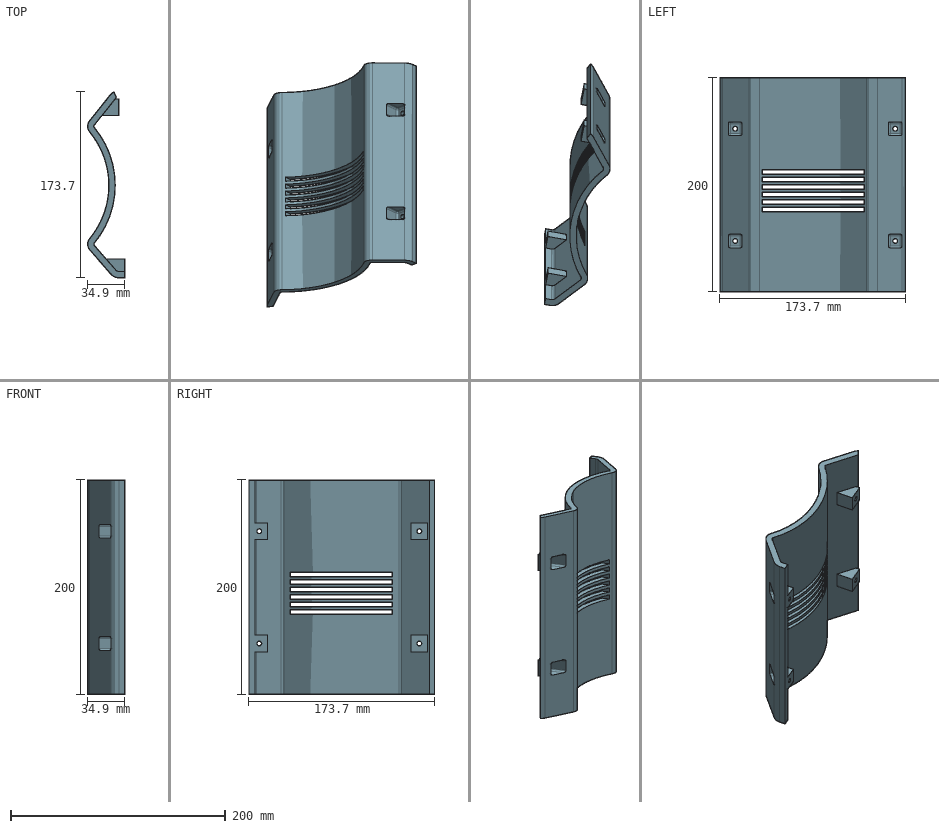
import cadquery as cq
import math

panel_height = 200.0
wall = 6.0

back_radius = 84.0
front_radius = back_radius - wall
bend_half_width = 55.0
bend_back_radius = 2.0
bend_front_radius = bend_back_radius + wall

upper_leg_angle = 51.5
lower_leg_angle = 49.0
upper_leg_back_end = 82.2
lower_leg_back_end = 80.5
lip_back_radius = 4.0
lip_front_radius = lip_back_radius + wall
lip_tip_x = 93.0

slot_count = 6
slot_pitch = 7.0
slot_height = 4.0
slot_length = 95.0
top_slot_z = 12.0

seat_z = 52.5
upper_seat_y = 72.8
lower_seat_y = -76.5
upper_seat_back_x = 87.5
lower_seat_back_x = lip_tip_x
boss_size = 15.5
pocket_size = 12.8
pocket_fillet = 1.8
pocket_floor_x = 84.5
screw_hole_diameter = 4.2


def leg_points(angle_degrees, back_end):
    """Sharp corners of a leg on the +Y side: bend back and front, end back and front."""
    angle = math.radians(angle_degrees)
    along = (math.cos(angle), math.sin(angle))
    normal = (-math.sin(angle), math.cos(angle))
    bend_back = (math.sqrt(back_radius**2 - bend_half_width**2), bend_half_width)
    reach = (back_end - bend_half_width) / math.sin(angle)
    end_back = (bend_back[0] + reach * along[0], back_end)
    offset = bend_back[0] * normal[0] + bend_back[1] * normal[1] + wall
    travel = math.sqrt(front_radius**2 - offset**2)
    bend_front = (offset * normal[0] + travel * along[0], offset * normal[1] + travel * along[1])
    end_front = (end_back[0] - wall * math.tan(angle / 2), back_end + wall)
    return bend_back, bend_front, end_back, end_front


def base_plane():
    return cq.Workplane("XY", origin=(0, 0, -panel_height / 2))


def mirrored(point):
    return (point[0], -point[1])


def vertical_edges_at(body, point):
    x, y = point
    reach = 0.2
    corner = cq.selectors.BoxSelector(
        (x - reach, y - reach, -panel_height), (x + reach, y + reach, panel_height)
    )
    return body.edges("|Z").edges(corner)


def make_panel():
    upper = leg_points(upper_leg_angle, upper_leg_back_end)
    lower = [mirrored(point) for point in leg_points(lower_leg_angle, lower_leg_back_end)]
    upper_bend_back, upper_bend_front, upper_end_back, upper_end_front = upper
    lower_bend_back, lower_bend_front, lower_end_back, lower_end_front = lower
    panel = (
        base_plane()
        .moveTo(lip_tip_x, upper_end_back[1])
        .lineTo(*upper_end_back)
        .lineTo(*upper_bend_back)
        .threePointArc((back_radius, 0), lower_bend_back)
        .lineTo(*lower_end_back)
        .lineTo(lip_tip_x, lower_end_back[1])
        .lineTo(lip_tip_x, lower_end_front[1])
        .lineTo(*lower_end_front)
        .lineTo(*lower_bend_front)
        .threePointArc((front_radius, 0), upper_bend_front)
        .lineTo(*upper_end_front)
        .lineTo(lip_tip_x, upper_end_front[1])
        .close()
        .extrude(panel_height)
    )
    roundings = [
        (upper_bend_back, bend_back_radius),
        (lower_bend_back, bend_back_radius),
        (upper_bend_front, bend_front_radius),
        (lower_bend_front, bend_front_radius),
        (lower_end_back, lip_back_radius),
        (lower_end_front, lip_front_radius),
        (upper_end_front, lip_front_radius),
    ]
    for point, radius in roundings:
        panel = vertical_edges_at(panel, point).fillet(radius)
    beyond_mitre = (
        base_plane()
        .moveTo(*upper_end_back)
        .lineTo(*upper_end_front)
        .lineTo(lip_tip_x, upper_end_front[1])
        .lineTo(lip_tip_x, upper_end_back[1])
        .close()
        .extrude(panel_height)
    )
    return panel.cut(beyond_mitre)


def square_bar(size, end_x, y, z):
    """Square bar along X, from the plane X = 0 to end_x."""
    return cq.Workplane("YZ", origin=(0, y, z)).rect(size, size).extrude(end_x)


def add_seat(panel, y, z, back_x, space_in_front):
    """Add a boss behind a leg, then sink its pocket and screw hole from the front."""
    boss = square_bar(boss_size, back_x, y, z).cut(space_in_front)
    pocket = square_bar(pocket_size, pocket_floor_x, y, z)
    pocket = pocket.edges("|X or >X").fillet(pocket_fillet)
    hole = cq.Workplane("YZ", origin=(0, y, z)).circle(screw_hole_diameter / 2).extrude(back_x)
    return panel.union(boss).cut(pocket).cut(hole)


def make_space_in_front():
    """Everything on the -X side of the middle of the leg walls."""
    outline = [(0, 0)]
    for angle, end, side in (
        (upper_leg_angle, upper_leg_back_end, 1),
        (lower_leg_angle, lower_leg_back_end, -1),
    ):
        bend_back, bend_front, end_back, end_front = leg_points(angle, end)
        bend_mid = ((bend_back[0] + bend_front[0]) / 2, side * (bend_back[1] + bend_front[1]) / 2)
        end_mid = ((end_back[0] + end_front[0]) / 2, side * (end_back[1] + end_front[1]) / 2)
        edge_y = side * end_front[1]
        leg = [bend_mid, end_mid, (end_mid[0], edge_y), (0, edge_y)]
        outline += leg if side > 0 else leg[::-1]
    return base_plane().polyline(outline).close().extrude(panel_height)


def make_slot(z):
    """Straight cutter along X, long enough to pass through the curved middle."""
    slot = cq.Workplane("XY").box(2 * back_radius, slot_length, slot_height)
    return slot.translate((back_radius, 0, z))


result = make_panel()
space_in_front = make_space_in_front()
for z in (-seat_z, seat_z):
    result = add_seat(result, upper_seat_y, z, upper_seat_back_x, space_in_front)
    result = add_seat(result, lower_seat_y, z, lower_seat_back_x, space_in_front)
for index in range(slot_count):
    result = result.cut(make_slot(top_slot_z - index * slot_pitch))